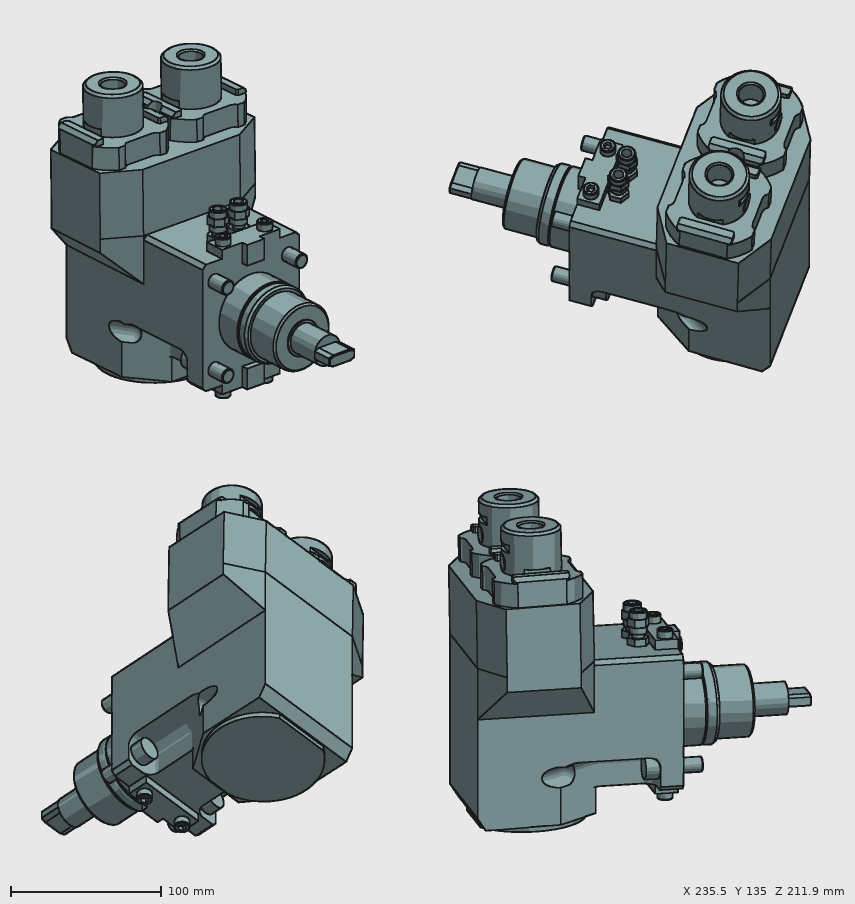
import cadquery as cq
import math


TILT = 1.0
SPINDLE_Y = 34.0
HEAD_TOP_X = -101.5
HEAD_TOP_Z = 94.5
SPINDLE_LENGTH = 160.2

BODY_HALF_WIDTH = 42.2
BLOCK_HALF_HEIGHT = 46.6
BLOCK_CHAMFER = 3.0
COLUMN_RIGHT_X = -55.4
COLUMN_CHAMFER_X = 5.7
COLUMN_CHAMFER_Z = 9.0

HEAD_HALF_LENGTH = 39.8
HEAD_WIDTH = 135.0
HEAD_HALF_WIDTH = HEAD_WIDTH / 2
HEAD_CORNER_X = 14.5
HEAD_TAPER_Z = 11.0

POCKET_CEILING_Z = -23.0
POCKET_START_X = -83.5
POCKET_BEND_X = -54.6
POCKET_END_X = -15.5
RIB_HALF_WIDTH = 21.7
POCKET_FILLET = 8.0
POCKET_CEILING_FILLET = 7.8
RIB_FILLET = 7.0
CUTTER_MARGIN = 23.5

GROOVE_RADIUS = 7.0
GROOVE_ANGLE = 33.0
GROOVE_REACH = 6.5
GROOVE_RUN_OUT = 47.0

CAP_RADIUS = 41.0
CAP_FLAT_X = 35.0
CAP_RIGHT_X = 40.0
CAP_THICKNESS = 3.8

BOSS_RADIUS = 27.8
BOSS_END_X = 28.3
SEAL_GROOVE_START_X = 18.5
SEAL_GROOVE_END_X = 19.8
SEAL_GROOVE_DEPTH = 1.0
LAND_START_X = 21.5
LAND_CHAMFER_DEPTH = 0.5
BOSS_CHAMFER_X = 2.1
BOSS_CHAMFER_DEPTH = 1.5
SHANK_RADIUS = 24.3
SHANK_END_X = 53.0
SHANK_CHAMFER = 1.5
COLLAR_RADIUS = 13.0
COLLAR_END_X = 54.0
SHAFT_RADIUS = 11.0
SHAFT_END_X = 78.7
TANG_END_X = 94.2
TANG_HALF_HEIGHT = 4.2
TANG_FLAT_HALF_WIDTH = 7.3
TANG_EDGE_HALF_HEIGHT = 2.8
TANG_END_CHAMFER = 0.7

BOLT_OFFSET_Y = 32.0
BOLT_OFFSET_Z = 32.5
BOLT_RADIUS = 5.2
BOLT_LENGTH = 14.5
BOLT_CHAMFER = 0.7
BOLT_HEAD_RADIUS = 8.0
BOLT_HEAD_LENGTH = 9.5

CLAMP_LENGTH = -POCKET_END_X
CLAMP_HALF_WIDTH = 25.2
CLAMP_HEIGHT = 6.5
KEY_LENGTH = 5.0
KEY_HALF_WIDTH = 7.5
KEY_HEIGHT = 15.3
SCREW_X = -7.3
SCREW_Y = 18.1
SCREW_RADIUS = 5.2
SCREW_HEIGHT = 5.7
SCREW_CHAMFER = 0.7
SCREW_SOCKET_SIZE = 5.7
SCREW_SOCKET_DEPTH = 3.5

FITTING_X = -23.5
FITTING_Y = 9.0
FITTING_HEX = 14.5
FITTING_BASE_HEIGHT = 5.0
FITTING_NECK_RADIUS = 4.2
FITTING_NECK_HEIGHT = 3.0
FITTING_RADIUS = 6.0
FITTING_SLEEVE_HEIGHT = 4.7
FITTING_NUT_HEIGHT = 5.7
FITTING_TIP_HEIGHT = 5.2
FITTING_CHAMFER = 0.7
FITTING_BORE_RADIUS = 3.3
FITTING_BORE_DEPTH = 14.1

PLATE_RADIUS = 36.5
PLATE_HALF_LENGTH = 30.1
PLATE_HALF_WIDTH = 32.5
PLATE_HEIGHT = 16.5
NOTCH_DEPTH = 2.8
NOTCH_HALF_WIDTH = 15.8
NOTCH_FILLET = 5.7
RAIL_LENGTH = 38.2
RAIL_WIDTH = 8.7
RAIL_HEIGHT = 4.2
RAIL_CHAMFER = 3.0
RAIL_CORNER_CHAMFER = 1.2
SCALLOP_RADIUS = 6.4
NOSE_RADIUS = 20.0
NOSE_TOP = 47.0
NOSE_CHAMFER = 2.0
BORE_RADIUS = 8.2
BORE_DEPTH = 18.8
BORE_CHAMFER = 1.2
WRENCH_HALF_WIDTH = 18.0
WRENCH_HEIGHT = 5.2
SLOT_BOTTOM = 31.5
SLOT_HEIGHT = 5.2
SLOT_DEPTH = 2.8
PIN_RADIUS = 6.1

SIN_TILT = math.sin(math.radians(TILT))
COS_TILT = math.cos(math.radians(TILT))
TAN_TILT = math.tan(math.radians(TILT))
HEAD_BASE_X = HEAD_TOP_X + (HEAD_TOP_Z - BLOCK_HALF_HEIGHT) * TAN_TILT
COLUMN_FOOT_X = HEAD_TOP_X + SPINDLE_LENGTH * SIN_TILT
COLUMN_FOOT_Z = HEAD_TOP_Z - SPINDLE_LENGTH * COS_TILT


def tilted(shape, x, z):
    """Lean a shape with the spindles about its own origin, then move it to (x, z)."""
    return shape.rotate((0, 0, 0), (0, 1, 0), -TILT).translate((x, 0, z))


def box(x_range, y_range, z_range):
    """Box between pairs of limits on the three axes."""
    spans = [limits[1] - limits[0] for limits in (x_range, y_range, z_range)]
    corner = (x_range[0], y_range[0], z_range[0])
    return cq.Workplane("XY").box(*spans, centered=False).translate(corner)


def mirrored_pair(shape, plane):
    """The shape together with its mirror image."""
    return shape.union(shape.mirror(plane))



def column_bottom_z(x):
    """Height of the leaning bottom face of the column."""
    return COLUMN_FOOT_Z + (x - COLUMN_FOOT_X) * TAN_TILT


def body_block():
    """Rear block and column, as one side profile across the full body width."""
    left = HEAD_BASE_X - HEAD_HALF_LENGTH
    foot_left = left + COLUMN_CHAMFER_X
    foot_left_z = column_bottom_z(foot_left)
    profile = [
        (left, BLOCK_HALF_HEIGHT),
        (left, foot_left_z + COLUMN_CHAMFER_Z),
        (foot_left, foot_left_z),
        (COLUMN_RIGHT_X, column_bottom_z(COLUMN_RIGHT_X)),
        (COLUMN_RIGHT_X, -BLOCK_HALF_HEIGHT),
        (0, -BLOCK_HALF_HEIGHT),
        (0, BLOCK_HALF_HEIGHT),
    ]
    block = cq.Workplane("XZ").polyline(profile).close().extrude(BODY_HALF_WIDTH, both=True)
    return block.edges("|X").chamfer(BLOCK_CHAMFER)


def pocket():
    """Cutter for the pocket on the -Y side, rounded where its walls meet the ceiling."""
    outside = -BODY_HALF_WIDTH - CUTTER_MARGIN
    outline = [
        (POCKET_START_X, outside),
        (POCKET_START_X, -BODY_HALF_WIDTH),
        (POCKET_BEND_X, -RIB_HALF_WIDTH),
        (POCKET_END_X, -RIB_HALF_WIDTH),
        (POCKET_END_X, outside),
    ]
    depth = POCKET_CEILING_Z - COLUMN_FOOT_Z + CUTTER_MARGIN
    cutter = cq.Workplane("XY").workplane(offset=POCKET_CEILING_Z).polyline(outline).close().extrude(-depth)
    bend = cq.NearestToPointSelector((POCKET_BEND_X, -RIB_HALF_WIDTH, POCKET_CEILING_Z - depth / 2))
    end = cq.NearestToPointSelector((POCKET_END_X, -RIB_HALF_WIDTH, POCKET_CEILING_Z - depth / 2))
    cutter = cutter.edges("|Z").edges(bend).fillet(RIB_FILLET)
    cutter = cutter.edges("|Z").edges(end).fillet(POCKET_FILLET)
    ceiling_edges = cutter.faces(">Z").edges("not(<X or <Y)")
    return ceiling_edges.fillet(POCKET_CEILING_FILLET)


def column_bevel():
    """Cutter that carries the slanted pocket wall straight across the column below the rib."""
    slope = (BODY_HALF_WIDTH - RIB_HALF_WIDTH) / (POCKET_BEND_X - POCKET_START_X)
    right_y = -BODY_HALF_WIDTH + slope * (COLUMN_RIGHT_X - POCKET_START_X)
    outline = [
        (POCKET_START_X, -BODY_HALF_WIDTH),
        (COLUMN_RIGHT_X, right_y),
        (COLUMN_RIGHT_X, -BODY_HALF_WIDTH),
    ]
    top = cq.Workplane("XY").workplane(offset=-BLOCK_HALF_HEIGHT).polyline(outline).close()
    return top.extrude(COLUMN_FOOT_Z + BLOCK_HALF_HEIGHT - CUTTER_MARGIN)


def ball_groove():
    """Cutter for the ball-ended groove that enters the -Y side at the pocket corner."""
    angle = math.radians(GROOVE_ANGLE)
    direction = cq.Vector(math.cos(angle), math.sin(angle), 0)
    corner = cq.Vector(POCKET_START_X, -BODY_HALF_WIDTH, -BOLT_OFFSET_Z)
    centre = corner + direction * GROOVE_REACH
    rod = cq.Solid.makeCylinder(GROOVE_RADIUS, GROOVE_RUN_OUT, centre, direction * -1)
    ball = cq.Workplane("XY").sphere(GROOVE_RADIUS).translate(centre.toTuple())
    return ball.union(cq.Workplane(rod))


def head_outline():
    """Octagon of the head in plan, centred on the origin."""
    inner_x = HEAD_HALF_LENGTH - HEAD_CORNER_X
    quarter = [(HEAD_HALF_LENGTH, BODY_HALF_WIDTH), (inner_x, HEAD_HALF_WIDTH)]
    left = [(-x, y) for x, y in reversed(quarter)]
    lower = [(x, -y) for x, y in reversed(quarter + left)]
    return cq.Workplane("XY").polyline(quarter + left + lower).close()


def head():
    """Upright lower part with 45 degree undersides, and the leaning upper part."""
    lower = head_outline().extrude(BLOCK_HALF_HEIGHT - HEAD_TAPER_Z).translate((HEAD_BASE_X, 0, HEAD_TAPER_Z))
    overhang = HEAD_HALF_WIDTH - BODY_HALF_WIDTH
    wedge = (
        cq.Workplane("YZ")
        .polyline([
            (BODY_HALF_WIDTH, HEAD_TAPER_Z),
            (HEAD_HALF_WIDTH, HEAD_TAPER_Z),
            (HEAD_HALF_WIDTH, HEAD_TAPER_Z + overhang),
        ])
        .close()
        .extrude(HEAD_HALF_LENGTH, both=True)
        .translate((HEAD_BASE_X, 0, 0))
    )
    lower = lower.cut(mirrored_pair(wedge, "XZ"))
    upper = tilted(head_outline().extrude(-HEAD_TOP_Z), HEAD_TOP_X, HEAD_TOP_Z)
    reach = HEAD_HALF_WIDTH + CUTTER_MARGIN
    above = box((HEAD_TOP_X - reach, HEAD_TOP_X + reach), (-reach, reach),
                (BLOCK_HALF_HEIGHT, HEAD_TOP_Z + CUTTER_MARGIN))
    return lower.union(upper.intersect(above))


def bottom_cap():
    """Flat-sided disc under the column, square to the spindle axes."""
    disc = cq.Workplane("XY").circle(CAP_RADIUS).extrude(-CAP_THICKNESS)
    limits = box((-CAP_FLAT_X, CAP_RIGHT_X), (-CAP_RADIUS, CAP_RADIUS), (-CAP_THICKNESS, 0))
    return tilted(disc.intersect(limits), COLUMN_FOOT_X, COLUMN_FOOT_Z)


def shank():
    """Turned boss, shank, collar and shaft, from one half profile."""
    groove_radius = BOSS_RADIUS - SEAL_GROOVE_DEPTH
    profile = [
        (0, 0),
        (0, BOSS_RADIUS),
        (SEAL_GROOVE_START_X, BOSS_RADIUS),
        (SEAL_GROOVE_START_X, groove_radius),
        (SEAL_GROOVE_END_X, groove_radius),
        (SEAL_GROOVE_END_X, BOSS_RADIUS - LAND_CHAMFER_DEPTH),
        (LAND_START_X, BOSS_RADIUS),
        (BOSS_END_X - BOSS_CHAMFER_X, BOSS_RADIUS),
        (BOSS_END_X, BOSS_RADIUS - BOSS_CHAMFER_DEPTH),
        (BOSS_END_X, SHANK_RADIUS),
        (SHANK_END_X - SHANK_CHAMFER, SHANK_RADIUS),
        (SHANK_END_X, SHANK_RADIUS - SHANK_CHAMFER),
        (SHANK_END_X, COLLAR_RADIUS),
        (COLLAR_END_X, COLLAR_RADIUS),
        (COLLAR_END_X, SHAFT_RADIUS),
        (SHAFT_END_X, SHAFT_RADIUS),
        (SHAFT_END_X, 0),
    ]
    return cq.Workplane("XY").polyline(profile).close().revolve(360, (0, 0, 0), (1, 0, 0))


def drive_tang():
    """Flat tang at the shaft end, with bevelled long edges."""
    quarter = [(SHAFT_RADIUS, TANG_EDGE_HALF_HEIGHT), (TANG_FLAT_HALF_WIDTH, TANG_HALF_HEIGHT)]
    left = [(-y, z) for y, z in reversed(quarter)]
    lower = [(y, -z) for y, z in reversed(quarter + left)]
    section = cq.Workplane("YZ").workplane(offset=SHAFT_END_X).polyline(quarter + left + lower).close()
    tang = section.extrude(TANG_END_X - SHAFT_END_X)
    return tang.faces(">X").chamfer(TANG_END_CHAMFER)


def flange_bolts():
    """Bolt ends on the flange face; the lower two also show heads in the pockets."""
    corners = [(y, z) for y in (-BOLT_OFFSET_Y, BOLT_OFFSET_Y) for z in (-BOLT_OFFSET_Z, BOLT_OFFSET_Z)]
    ends = cq.Workplane("YZ").pushPoints(corners).circle(BOLT_RADIUS).extrude(BOLT_LENGTH)
    ends = ends.faces(">X").chamfer(BOLT_CHAMFER)
    lower = [(y, z) for y, z in corners if z < 0]
    heads = (
        cq.Workplane("YZ")
        .workplane(offset=POCKET_END_X)
        .pushPoints(lower)
        .circle(BOLT_HEAD_RADIUS)
        .extrude(-BOLT_HEAD_LENGTH)
    )
    return ends.union(heads)


def clamp():
    """Clamp block on the top face, its key on the flange face and its two screws."""
    top = BLOCK_HALF_HEIGHT + CLAMP_HEIGHT
    block = box((-CLAMP_LENGTH, 0), (-CLAMP_HALF_WIDTH, CLAMP_HALF_WIDTH), (BLOCK_HALF_HEIGHT, top))
    key = box((0, KEY_LENGTH), (-KEY_HALF_WIDTH, KEY_HALF_WIDTH), (top - KEY_HEIGHT, top))
    places = [(SCREW_X, -SCREW_Y), (SCREW_X, SCREW_Y)]
    screws = (
        cq.Workplane("XY")
        .workplane(offset=top)
        .pushPoints(places)
        .circle(SCREW_RADIUS)
        .extrude(SCREW_HEIGHT)
    )
    screws = screws.faces(">Z").chamfer(SCREW_CHAMFER)
    sockets = (
        cq.Workplane("XY")
        .workplane(offset=top + SCREW_HEIGHT)
        .pushPoints(places)
        .polygon(6, SCREW_SOCKET_SIZE)
        .extrude(-SCREW_SOCKET_DEPTH)
    )
    return block.union(key).union(screws.cut(sockets))


def fitting(y):
    """Coolant fitting on the top face: hex base, neck, sleeve, nut and bored tip."""
    stack = cq.Workplane("XY").polygon(6, FITTING_HEX).extrude(FITTING_BASE_HEIGHT)
    stack = stack.faces(">Z").workplane().circle(FITTING_NECK_RADIUS).extrude(FITTING_NECK_HEIGHT)
    stack = stack.faces(">Z").workplane().circle(FITTING_RADIUS).extrude(FITTING_SLEEVE_HEIGHT)
    stack = stack.faces(">Z").workplane().polygon(6, FITTING_HEX).extrude(FITTING_NUT_HEIGHT)
    stack = stack.faces(">Z").workplane().circle(FITTING_RADIUS).extrude(FITTING_TIP_HEIGHT)
    stack = stack.faces(">Z").edges().chamfer(FITTING_CHAMFER)
    stack = stack.faces(">Z").workplane().hole(2 * FITTING_BORE_RADIUS, FITTING_BORE_DEPTH)
    return stack.translate((FITTING_X, y, BLOCK_HALF_HEIGHT))


def make_housing():
    body = body_block()
    for cutter in (pocket(), column_bevel(), ball_groove()):
        body = body.cut(mirrored_pair(cutter, "XZ"))
    body = body.union(head()).union(bottom_cap())
    body = body.union(shank()).union(drive_tang()).union(flange_bolts())
    body = body.union(mirrored_pair(clamp(), "XY"))
    for y in (-FITTING_Y, FITTING_Y):
        body = body.union(fitting(y))
    return body



def spindle_plate():
    """Round plate with four flats, a shallow notch in each X flat and a rail along each Y flat."""
    plate = cq.Workplane("XY").circle(PLATE_RADIUS).extrude(PLATE_HEIGHT)
    flats = cq.Workplane("XY").rect(2 * PLATE_HALF_LENGTH, 2 * PLATE_HALF_WIDTH).extrude(PLATE_HEIGHT)
    plate = plate.intersect(flats)
    notch = box((PLATE_HALF_LENGTH - NOTCH_DEPTH, PLATE_RADIUS),
                (-NOTCH_HALF_WIDTH, NOTCH_HALF_WIDTH), (0, PLATE_HEIGHT))
    notch = notch.edges("|Z and <X").fillet(NOTCH_FILLET)
    rail = box((-RAIL_LENGTH / 2, RAIL_LENGTH / 2), (PLATE_HALF_WIDTH - RAIL_WIDTH, PLATE_HALF_WIDTH),
               (PLATE_HEIGHT, PLATE_HEIGHT + RAIL_HEIGHT))
    rail = rail.edges("|Z").chamfer(RAIL_CORNER_CHAMFER)
    rail = rail.edges(">Z and >Y").chamfer(RAIL_CHAMFER)
    return plate.cut(mirrored_pair(notch, "YZ")).union(mirrored_pair(rail, "XZ"))


def spindle_nose():
    """Bored nose with wrench flats at its foot, a flat slot and a flush pin on the -X side."""
    foot = cq.Workplane("XY").workplane(offset=PLATE_HEIGHT)
    nose = foot.circle(NOSE_RADIUS).extrude(NOSE_TOP - PLATE_HEIGHT)
    nose = nose.faces(">Z").edges().chamfer(NOSE_CHAMFER)
    nose = nose.faces(">Z").workplane().hole(2 * BORE_RADIUS, BORE_DEPTH)
    nose = nose.faces(">Z").edges("%CIRCLE").edges(cq.selectors.RadiusNthSelector(0)).chamfer(BORE_CHAMFER)
    wrench = box((-NOSE_RADIUS, NOSE_RADIUS), (WRENCH_HALF_WIDTH, NOSE_RADIUS),
                 (PLATE_HEIGHT, PLATE_HEIGHT + WRENCH_HEIGHT))
    slot = box((-NOSE_RADIUS, SLOT_DEPTH - NOSE_RADIUS), (-NOSE_RADIUS, NOSE_RADIUS),
               (SLOT_BOTTOM, SLOT_BOTTOM + SLOT_HEIGHT))
    pin = (
        cq.Workplane("YZ")
        .center(0, PLATE_HEIGHT + PIN_RADIUS)
        .circle(PIN_RADIUS)
        .extrude(BORE_RADIUS - NOSE_RADIUS)
        .translate((-BORE_RADIUS, 0, 0))
    )
    return nose.cut(mirrored_pair(wrench, "XZ")).cut(slot).union(pin)


def make_spindle_unit(y):
    """One spindle unit on the head top, scalloped where the two units face each other."""
    unit = spindle_plate().union(spindle_nose()).translate((0, y, 0))
    scallop = cq.Workplane("XY").circle(SCALLOP_RADIUS).extrude(PLATE_HEIGHT + RAIL_HEIGHT)
    return tilted(unit.cut(scallop), HEAD_TOP_X, HEAD_TOP_Z)


housing = make_housing()
spindle_units = [make_spindle_unit(y) for y in (-SPINDLE_Y, SPINDLE_Y)]

result = cq.Compound.makeCompound([housing.val()] + [unit.val() for unit in spindle_units])